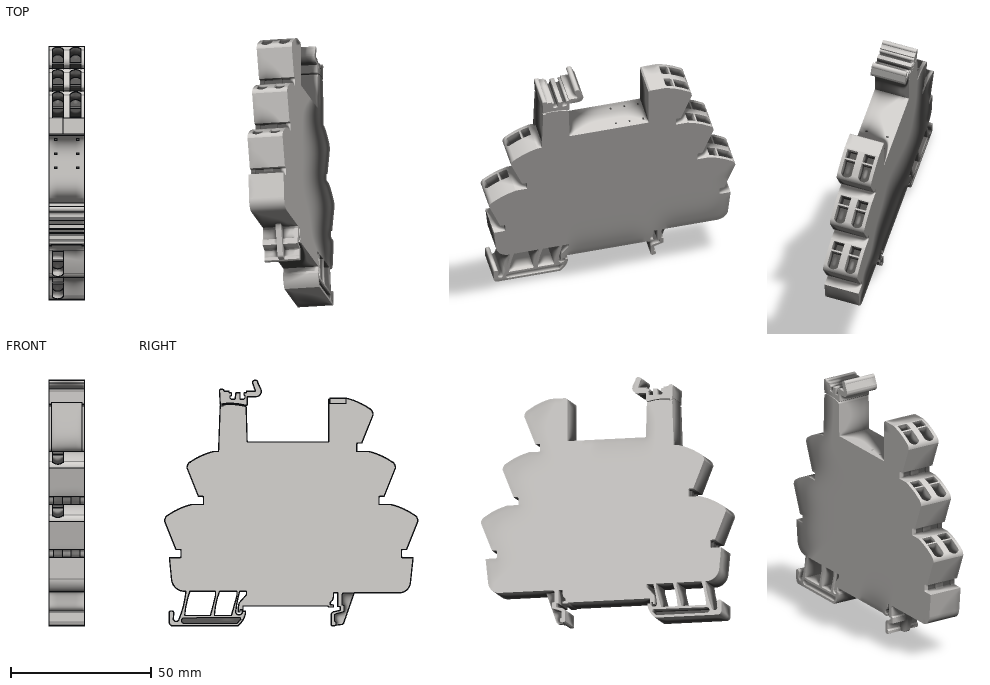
import cadquery as cq
import math

WIDTH = 12.8
MID_X = WIDTH / 2

TIER_STEP_IN = 8.0
TIER_STEP_UP = 19.0
TIER_COUNT = 3
MIRRORED_TIER_COUNT = 2
NOTCH_FLOOR = 24.4
NOTCH_CEILING = 27.3
NOTCH_WALL = 39.4
NOTCH_RADIUS = 0.5
UNDERSIDE_Y = 41.2
NOSE_Y = 45.255
NOSE_BOTTOM = (NOSE_Y, 37.4)
NOSE_MIDDLE = (NOSE_Y - 0.35, 38.75)
CROWN_END = (43.9, 39.7)
CROWN_START_Y = 35.6
CROWN_TOP = 43.4
CROWN_BULGE = 0.4

MAIN_TOP = CROWN_TOP + TIER_STEP_UP

WIRE_COLUMNS = (WIDTH / 4, WIDTH * 3 / 4)
OPENING_WIDTH = 3.95
FUNNEL_INNER = -0.4
FUNNEL_OUTER = 5.85
FUNNEL_BULGE = 1.1
FUNNEL_DEPTH = 7.5
SLOT_INNER = -4.1
SLOT_OUTER = -1.0
SLOT_DEPTH = 10.0
CUTTER_RISE = 6.0

POCKET_WIDTH = 3.2
POCKET_DEPTH = 0.8

SHOULDER_Y = 43.55
BASE_FLANK_Y = 42.6
BASE_FLANK_Z = 15.5
BASE_FLOOR_Y = 38.5
BASE_FLOOR = 11.8
FOOT_CEILING = 12.36
RAIL_FACE = 7.08
WELL_FLOOR = 65.75
WELL_WALL = 13.35
WELL_CHAMFER = 0.55

SOCKET_LENGTH = 0.95
SOCKET_BREADTH = 0.6
SOCKET_DEPTH = 4.0
SOCKET_COLUMNS = (2.5, 10.3)
SOCKET_FIRST_Y = 1.9
SOCKET_PITCH = 5.04
SOCKET_ROWS = 3

TOWER_FOOT_FRONT = -26.0
TOWER_TOP_FRONT = -25.4
TOWER_CORNER_Z = 78.9
TOWER_INNER_FOOT = -15.7
TOWER_ROOT_Z = 60.0
TOWER_CUT_TOP = 80.0
PANEL_MARGIN = 0.95
PANEL_Y = -25.3
TOWER_NOTCH_DEPTH = 1.0
TOWER_NOTCH_Z = 78.5
TONGUE_TOP = 79.85
TONGUE_THICKNESS = 0.9

WEB_THICKNESS = 2.0
HOOK_ROOT_Y = -16.0
LIP_ROOT_Y = 13.4
LIP_TOP = 12.3
ROOT_OVERLAP = 1.0

WINDOW_X = 5.05
WINDOW_THICKNESS = 2.0


def extrude(path, thickness=WIDTH, start=0.0):
    """Close a YZ path and extrude it along +X from the given X."""
    return path.close().extrude(thickness).translate((start, 0, 0))


def start_path(point):
    return cq.Workplane("YZ").moveTo(*point)


def block(x_range, y_range, z_range):
    """Box between the given limits on each axis."""
    limits = (x_range, y_range, z_range)
    sizes = [high - low for low, high in limits]
    corner = [low for low, high in limits]
    return cq.Workplane("XY").box(*sizes, centered=False).translate(tuple(corner))


def mirror_y(shape):
    return shape.mirror("XZ")


def arc_middle(start, end, bulge):
    """Middle point of a shallow arc, bulging to the left of start -> end."""
    run = end[0] - start[0]
    rise = end[1] - start[1]
    length = math.hypot(run, rise)
    return (
        (start[0] + end[0]) / 2 - rise / length * bulge,
        (start[1] + end[1]) / 2 + run / length * bulge,
    )


CROWN_START = (CROWN_START_Y, CROWN_TOP)
CROWN_MIDDLE = arc_middle(CROWN_START, CROWN_END, CROWN_BULGE)
CROWN_TILT = math.degrees(
    math.atan2(CROWN_START[1] - CROWN_END[1], CROWN_END[0] - CROWN_START[0])
)


def tier_place(shape, level):
    return shape.translate((0, -TIER_STEP_IN * level, TIER_STEP_UP * level))


def tier(level, inner_y):
    """One +Y terminal tier with the neck below it, running in to inner_y.

    Only the lowest notch is also rounded where its wall meets its floor.
    """
    inner = inner_y + TIER_STEP_IN * level
    outline = start_path((inner, NOTCH_FLOOR))
    if level == 0:
        outline = (
            outline.lineTo(NOTCH_WALL + NOTCH_RADIUS, NOTCH_FLOOR)
            .radiusArc((NOTCH_WALL, NOTCH_FLOOR + NOTCH_RADIUS), NOTCH_RADIUS)
        )
    else:
        outline = outline.lineTo(NOTCH_WALL, NOTCH_FLOOR)
    outline = (
        outline.lineTo(NOTCH_WALL, NOTCH_CEILING - NOTCH_RADIUS)
        .radiusArc((NOTCH_WALL + NOTCH_RADIUS, NOTCH_CEILING), NOTCH_RADIUS)
        .lineTo(UNDERSIDE_Y, NOTCH_CEILING)
        .lineTo(*NOSE_BOTTOM)
        .threePointArc(NOSE_MIDDLE, CROWN_END)
        .threePointArc(CROWN_MIDDLE, CROWN_START)
        .lineTo(inner, CROWN_TOP)
    )
    return tier_place(extrude(outline), level)


def crown_place(cutter, x, level):
    """Stand a cutter on the crown of a tier, square to its slope."""
    tilted = cutter.rotate((0, 0, 0), (1, 0, 0), -CROWN_TILT)
    return tier_place(tilted.translate((x, *CROWN_MIDDLE)), level)


def wire_openings(x, level):
    """Round-ended wire funnel and the release slot beside it."""
    half = OPENING_WIDTH / 2
    funnel = (
        cq.Workplane("XY", origin=(0, 0, -FUNNEL_DEPTH))
        .moveTo(-half, FUNNEL_INNER)
        .lineTo(half, FUNNEL_INNER)
        .lineTo(half, FUNNEL_OUTER - FUNNEL_BULGE)
        .threePointArc((0, FUNNEL_OUTER), (-half, FUNNEL_OUTER - FUNNEL_BULGE))
        .close()
        .extrude(FUNNEL_DEPTH + CUTTER_RISE)
    )
    slot = block((-half, half), (SLOT_INNER, SLOT_OUTER), (-SLOT_DEPTH, CUTTER_RISE))
    return crown_place(funnel, x, level).union(crown_place(slot, x, level))


def notch_pocket(x, level):
    """Shallow pocket in the back wall of the notch below a tier."""
    half = POCKET_WIDTH / 2
    wall = (NOTCH_WALL - POCKET_DEPTH, NOTCH_WALL + NOTCH_RADIUS)
    pocket = block((x - half, x + half), wall, (NOTCH_FLOOR, NOTCH_CEILING))
    return tier_place(pocket, level)


def base_block():
    """Lower housing with its rounded corners and the rail face."""
    outline = (
        start_path((-SHOULDER_Y, NOTCH_FLOOR))
        .lineTo(-42.8, 16.7)
        .threePointArc((-41.25, 13.6), (-37.8, FOOT_CEILING))
        .lineTo(HOOK_ROOT_Y, FOOT_CEILING)
        .lineTo(HOOK_ROOT_Y, RAIL_FACE)
        .lineTo(LIP_ROOT_Y, RAIL_FACE)
        .lineTo(LIP_ROOT_Y, BASE_FLOOR)
        .lineTo(BASE_FLOOR_Y, BASE_FLOOR)
        .threePointArc((41.3, 12.9), (BASE_FLANK_Y, BASE_FLANK_Z))
        .lineTo(SHOULDER_Y, NOTCH_FLOOR)
    )
    return extrude(outline)


def tower_tongue():
    """Raised lip of the tower's front panel, seated in a matching recess in the lever."""
    return block(
        (PANEL_MARGIN, WIDTH - PANEL_MARGIN),
        (PANEL_Y, PANEL_Y + TONGUE_THICKNESS),
        (TOWER_NOTCH_Z - ROOT_OVERLAP, TONGUE_TOP),
    )


def lever_tower():
    """Tower that carries the lever, with a crowned top and a recessed front panel."""
    outline = (
        start_path((TOWER_FOOT_FRONT, TOWER_ROOT_Z))
        .lineTo(TOWER_INNER_FOOT, TOWER_ROOT_Z)
        .lineTo(TOWER_INNER_FOOT, WELL_FLOOR)
        .lineTo(-16.05, 77.8)
        .threePointArc((-16.25, 78.35), (-16.8, 78.6))
        .threePointArc((-21.3, 79.2), (TOWER_TOP_FRONT, TOWER_CORNER_Z))
        .lineTo(TOWER_FOOT_FRONT, MAIN_TOP)
    )
    tower = extrude(outline)
    panel = block(
        (PANEL_MARGIN, WIDTH - PANEL_MARGIN),
        (TOWER_FOOT_FRONT, PANEL_Y),
        (MAIN_TOP, TOWER_CUT_TOP),
    )
    tower = tower.cut(panel)
    for x in (0, WIDTH - PANEL_MARGIN):
        corner = block(
            (x, x + PANEL_MARGIN),
            (TOWER_FOOT_FRONT, TOWER_TOP_FRONT + TOWER_NOTCH_DEPTH),
            (TOWER_NOTCH_Z, TOWER_CUT_TOP),
        )
        tower = tower.cut(corner)
    return tower.union(tower_tongue())


def fixed_hook():
    """Rail hook on the +Y side: a bent strip, its centre brace and the lip facing it."""
    strip = (
        start_path((18.5, BASE_FLOOR + ROOT_OVERLAP))
        .lineTo(18.5, BASE_FLOOR)
        .lineTo(18.05, 11.1)
        .lineTo(18.05, 7.6)
        .lineTo(18.9, 7.3)
        .lineTo(18.9, 5.2)
        .lineTo(15.9, 4.3)
        .lineTo(15.4, 4.0)
        .lineTo(15.4, 1.8)
        .lineTo(16.0, 1.3)
        .lineTo(16.0, 0.3)
        .lineTo(15.4, 0)
        .lineTo(14.6, 0)
        .lineTo(14.2, 0.4)
        .lineTo(14.2, 3.9)
        .threePointArc((14.6, 4.8), (15.6, 5.2))
        .lineTo(17.45, 5.6)
        .lineTo(17.45, 6.95)
        .lineTo(16.6, 6.95)
        .lineTo(16.6, BASE_FLOOR + ROOT_OVERLAP)
    )
    brace = (
        start_path((22.5, BASE_FLOOR))
        .lineTo(18.8, 1.2)
        .threePointArc((18.5, 0.75), (18.0, 0.5))
        .lineTo(15.8, 0.25)
        .lineTo(15.3, 2)
        .lineTo(15.3, 4.3)
        .lineTo(18.2, 5.4)
        .lineTo(17.9, BASE_FLOOR)
    )
    lip = (
        start_path((13.0, LIP_TOP))
        .lineTo(15.1, LIP_TOP)
        .lineTo(15.1, 10.3)
        .lineTo(14.8, 9.3)
        .lineTo(14.0, 8.5)
        .lineTo(14.0, 7.65)
        .lineTo(15.1, 7.55)
        .lineTo(15.1, 6.75)
        .lineTo(LIP_ROOT_Y, 6.75)
        .lineTo(13.0, RAIL_FACE)
    )
    web = extrude(brace, WEB_THICKNESS, MID_X - WEB_THICKNESS / 2)
    return extrude(strip).union(web).union(extrude(lip))


def sprung_foot():
    """Spring foot on the -Y side: a bar hung on three slanted legs."""
    outline = (
        start_path((HOOK_ROOT_Y, FOOT_CEILING + ROOT_OVERLAP))
        .lineTo(HOOK_ROOT_Y, RAIL_FACE)
        .lineTo(-17.17, RAIL_FACE)
        .lineTo(-17.17, 5.3)
        .lineTo(-16.3, 5.3)
        .lineTo(-16.3, 4.5)
        .threePointArc((-17.2, 2.2), (-19.1, 0))
        .lineTo(-42.2, 0)
        .threePointArc((-43.2, 0.4), (-43.6, 1.4))
        .lineTo(-43.6, 4.8)
        .threePointArc((-43.45, 5.2), (-43.1, 5.4))
        .lineTo(-42.5, 5.4)
        .threePointArc((-42.1, 5.1), (-41.9, 4.5))
        .lineTo(-42.1, 2.4)
        .threePointArc((-41.2, 1.65), (-40.2, 2.2))
        .lineTo(-39.3, 4.6)
        .threePointArc((-38.3, 8.2), (-37.7, 11.9))
        .lineTo(-37.7, FOOT_CEILING + ROOT_OVERLAP)
    )
    hook_gap = (
        start_path((HOOK_ROOT_Y, FOOT_CEILING))
        .lineTo(-18.4, FOOT_CEILING)
        .threePointArc((-19.4, 8.0), (-19.8, 5.0))
        .threePointArc((-18.9, 4.05), (-17.5, 4.8))
        .lineTo(-17.5, 5.8)
        .lineTo(-18.3, 5.8)
        .lineTo(-18.3, 4.95)
        .lineTo(-18.95, 4.95)
        .lineTo(-18.95, 6.8)
        .lineTo(-18.6, 8.3)
        .lineTo(HOOK_ROOT_Y, 11.2)
    )
    window_floor = 3.8
    small_window = (
        start_path((-19.4, FOOT_CEILING))
        .lineTo(-25.6, FOOT_CEILING)
        .threePointArc((-26.75, 8.5), (-27.4, window_floor))
        .lineTo(-21.4, window_floor)
        .threePointArc((-20.4, 7.3), (-19.4, 11.0))
    )
    large_window = (
        start_path((-27.1, FOOT_CEILING))
        .lineTo(-36.2, FOOT_CEILING)
        .threePointArc((-37.3, 8.5), (-38.0, window_floor))
        .lineTo(-28.9, window_floor)
        .threePointArc((-27.95, 7.3), (-27.1, 10.8))
    )
    foot = extrude(outline)
    for opening in (hook_gap, small_window, large_window):
        foot = foot.cut(extrude(opening))
    recess_depth = (WIDTH - WEB_THICKNESS) / 2
    for start in (0, WIDTH - recess_depth):
        recess = (
            start_path((-18.3, 3.1))
            .lineTo(-38.3, 2.9)
            .threePointArc((-39.2, 1.9), (-38.3, 0.9))
            .lineTo(-19.4, 0.9)
            .lineTo(-18.0, 2.4)
        )
        foot = foot.cut(extrude(recess, recess_depth, start))
    return foot


def build_window():
    """Indicator window: flush with the top of the upper tier, open to the +X face."""
    top = CROWN_TOP + TIER_STEP_UP * (TIER_COUNT - 1)
    crown_start = CROWN_START_Y - TIER_STEP_IN * (TIER_COUNT - 1)
    return block(
        (WINDOW_X, WIDTH),
        (WELL_WALL + WELL_CHAMFER, crown_start),
        (top - WINDOW_THICKNESS, top),
    )


def build_housing(indicator):
    body = base_block()
    for level in range(MIRRORED_TIER_COUNT):
        side = tier(level, 0)
        body = body.union(side).union(mirror_y(side))
    core_y = (TOWER_INNER_FOOT, WELL_WALL + TIER_STEP_IN)
    core_top = block((0, WIDTH), core_y, (MAIN_TOP, WELL_FLOOR))
    top_tier = tier(TIER_COUNT - 1, WELL_WALL)
    top_tier = top_tier.edges("|X and >Z and <Y").chamfer(WELL_CHAMFER)
    body = body.union(core_top).union(top_tier).union(lever_tower())
    body = body.union(fixed_hook()).union(sprung_foot())

    for level in range(TIER_COUNT):
        for x in WIRE_COLUMNS:
            body = body.cut(wire_openings(x, level)).cut(notch_pocket(x, level))
    for level in range(MIRRORED_TIER_COUNT):
        body = body.cut(mirror_y(wire_openings(WIRE_COLUMNS[0], level)))
        for x in WIRE_COLUMNS:
            body = body.cut(mirror_y(notch_pocket(x, level)))

    sockets = (
        cq.Workplane("XY", origin=(0, 0, WELL_FLOOR))
        .pushPoints([
            (x, SOCKET_FIRST_Y + SOCKET_PITCH * row)
            for x in SOCKET_COLUMNS for row in range(SOCKET_ROWS)
        ])
        .rect(SOCKET_LENGTH, SOCKET_BREADTH)
        .extrude(-SOCKET_DEPTH)
    )
    return body.cut(sockets).cut(indicator)


def build_lever():
    """Retaining and ejector lever on the tower, with marker grooves along its top."""
    outline = (
        start_path((-15.7, 79.0))
        .lineTo(-15.7, 81.85)
        .lineTo(-12.5, 81.85)
        .threePointArc((-11.2, 82.5), (-10.65, 83.7))
        .lineTo(-10.75, 84.5)
        .lineTo(-11.9, 86.8)
        .threePointArc((-12.9, 87.83), (-13.85, 86.8))
        .lineTo(-12.8, 83.9)
        .lineTo(-16.0, 83.9)
        .lineTo(-16.0, 83.3)
        .lineTo(-16.7, 83.3)
        .threePointArc((-16.95, 82.9), (-16.6, 82.3))
        .lineTo(-16.6, 81.4)
        .lineTo(-17.0, 81.0)
        .lineTo(-18.3, 81.0)
        .lineTo(-18.3, 83.3)
        .lineTo(-19.8, 83.3)
        .lineTo(-20.1, 81.0)
        .lineTo(-21.4, 81.0)
        .lineTo(-21.85, 81.4)
        .lineTo(-21.85, 82.1)
        .threePointArc((-21.25, 82.75), (-21.6, 83.3))
        .lineTo(-22.15, 83.3)
        .lineTo(-22.15, 83.9)
        .lineTo(-24.0, 83.9)
        .threePointArc((-24.15, 84.35), (-24.5, 84.55))
        .lineTo(-25.2, 84.55)
        .threePointArc((-25.55, 84.35), (-25.65, 83.9))
        .lineTo(-25.4, 79.2)
        .threePointArc((-21.3, 79.5), (-16.4, 78.8))
        .lineTo(-16.0, 78.75)
    )
    lever = extrude(outline)
    recess = block(
        (PANEL_MARGIN, WIDTH - PANEL_MARGIN),
        (TOWER_FOOT_FRONT, PANEL_Y + TONGUE_THICKNESS),
        (TOWER_NOTCH_Z, TONGUE_TOP),
    )
    return lever.cut(recess)


window = build_window()
lever = build_lever()
housing = build_housing(window)

bodies = [body.solids().val() for body in (housing, lever, window)]
result = cq.Compound.makeCompound(bodies)